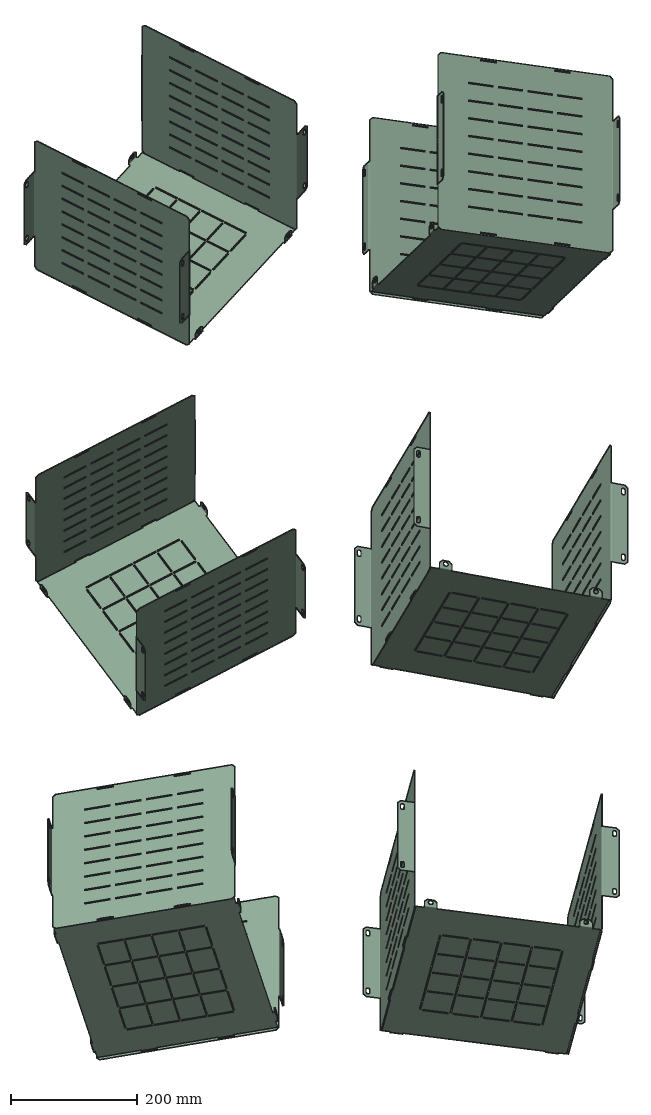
import cadquery as cq
overall_x = 299.0
overall_y = 356.0
overall_z = 300.0

sheet = 1.0
bend_inner = 0.5
bend_outer = bend_inner + sheet

panel_width = overall_x - 2 * bend_outer
panel_corner = 5.0
panel_outer_y = 151.0
panel_inner_y = panel_outer_y - sheet

vent_length = 41.0
vent_width = 2.0
panel_vent_columns = 4
panel_vent_rows = 8
panel_vent_pitch_x = 50.2
panel_vent_pitch_z = overall_z / 10
grid_cells = 4
grid_span_x = 176.0
grid_pitch_x = grid_span_x / grid_cells
grid_pitch_y = 49.0

flange_height = 150.0
flange_corner = 5.0
flange_slot_length = 12.0
flange_slot_width = 6.0
flange_slot_edge = 7.5
flange_slot_pitch = 125.0

base_mid_z = 3.5
base_bottom_z = base_mid_z - sheet / 2
base_width = 293.0
base_depth = 296.5

tab_pitch = 125.0
tab_width = 25.0
tab_overhang = 1.5
tab_chamfer = 3.0
tab_slot_length = 26.5
tab_slot_height = 2.0

ear_width = 20.5
ear_height = 16.0
ear_corner = 5.0
ear_pitch = 250.0
ear_hole = 8.0
ear_hole_drop = 6.0


def bent_strip(leg_end, length):
    """Quarter bend and straight leg of sheet, extruded along +Z.

    The bend starts on the Y axis with its outer face on y = 0, and the leg rises in +Y to leg_end.
    """
    return (
        cq.Workplane("XY")
        .moveTo(0, 0)
        .radiusArc((bend_outer, bend_outer), -bend_outer)
        .lineTo(bend_outer, leg_end)
        .lineTo(bend_inner, leg_end)
        .lineTo(bend_inner, bend_outer)
        .radiusArc((0, sheet), bend_inner)
        .close()
        .extrude(length)
    )


def make_flange():
    """Right-hand flange of the +Y panel, bent outward."""
    flange_end = overall_y / 2 - panel_inner_y
    bottom_z = (overall_z - flange_height) / 2
    flange = bent_strip(flange_end, flange_height).edges("|X and >Y").chamfer(flange_corner)
    slots = (
        cq.Workplane("YZ")
        .pushPoints([
            (flange_end - flange_slot_edge, flange_height / 2 + side * flange_slot_pitch / 2)
            for side in (-1, 1)
        ])
        .slot2D(flange_slot_length, flange_slot_width, 90)
        .extrude(bend_outer)
    )
    return flange.cut(slots).translate((overall_x / 2 - bend_outer, panel_inner_y, bottom_z))


def make_panel():
    """Side panel on the +Y side with its two flanges."""
    mid_z = overall_z / 2
    plate = (
        cq.Workplane("XY")
        .box(panel_width, sheet, overall_z)
        .edges("|Y")
        .chamfer(panel_corner)
    )
    flat = cq.Workplane("XZ", origin=(0, sheet, 0))
    vents = (
        flat.rarray(panel_vent_pitch_x, panel_vent_pitch_z, panel_vent_columns, panel_vent_rows)
        .rect(vent_length, vent_width)
        .extrude(2 * sheet)
    )
    tab_slots = (
        flat.rarray(tab_pitch, overall_z - 2 * base_mid_z, 2, 2)
        .rect(tab_slot_length, tab_slot_height)
        .extrude(2 * sheet)
    )
    plate = plate.cut(vents).cut(tab_slots).translate((0, panel_inner_y + sheet / 2, mid_z))
    flange = make_flange()
    return plate.union(flange).union(flange.mirror("YZ"))


def make_ear():
    """Ear on the +X edge of the base, bent upward, centred on y = 0."""
    ear = bent_strip(ear_height, ear_width).edges("|X and >Y").chamfer(ear_corner)
    hole = (
        cq.Workplane("YZ")
        .center(ear_height - ear_hole_drop, ear_width / 2)
        .circle(ear_hole / 2)
        .extrude(bend_outer)
    )
    return (
        ear.cut(hole)
        .rotate((0, 0, 0), (1, 0, 0), 90)
        .translate((panel_width / 2, ear_width / 2, base_bottom_z))
    )


def make_base():
    """Base plate with its vent grid, its tabs and its four ears."""
    base = cq.Workplane("XY").rect(base_width, base_depth).extrude(sheet)
    tabs = (
        cq.Workplane("XY")
        .rarray(tab_pitch, 3.5, 2, 1)
        .rect(tab_width, 2 * (panel_outer_y + tab_overhang))
        .extrude(sheet)
        .edges("|Z")
        .chamfer(tab_chamfer)
    )
    tongues = cq.Workplane("XY").rarray(3.5, ear_pitch, 1, 2).rect(panel_width, ear_width).extrude(sheet)
    cross_vents = (
        cq.Workplane("XY")
        .rarray(grid_pitch_x, grid_pitch_y, grid_cells, grid_cells + 1)
        .rect(vent_length, vent_width)
        .extrude(sheet)
    )
    long_vents = (
        cq.Workplane("XY")
        .rarray(grid_pitch_x, grid_pitch_y, grid_cells + 1, grid_cells)
        .rect(vent_width, vent_length)
        .extrude(sheet)
    )
    base = base.union(tabs).union(tongues).cut(cross_vents).cut(long_vents)
    base = base.translate((0, 0, base_bottom_z))
    ear = make_ear()
    for y in (-ear_pitch / 2, ear_pitch / 2):
        placed = ear.translate((0, y, 0))
        base = base.union(placed).union(placed.mirror("YZ"))
    return base


base = make_base()
rear_panel = make_panel()
front_panel = rear_panel.mirror("XZ")

result = cq.Compound.makeCompound([base.val(), rear_panel.val(), front_panel.val()])